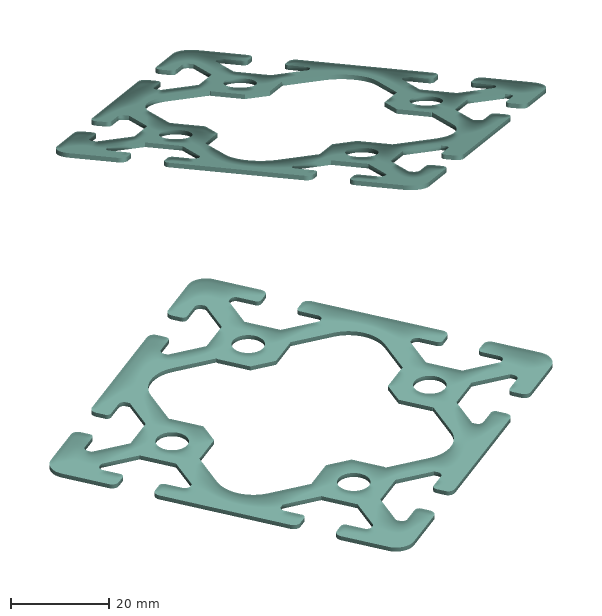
import cadquery as cq

side = 80.0
thickness = 1.0
corner_radius = 4.0
edge = side / 2

hub_offset = side / 4
hub_half_width = 7.7
hole_diameter = 6.8

mouth_half_width = 4.0
lip_thickness = 4.5
lip_outer_radius = 1.5
lip_inner_radius = 1.0
pocket_half_width = 10.0
pocket_wall_depth = 6.5
pocket_radius = 1.2
floor_depth = 12.5
floor_half_width = pocket_half_width - (floor_depth - pocket_wall_depth)

web_start = 4.0
hub_chamfer = 4.0
window_radius = 8.0

quarter_turns = (0, 90, 180, 270)


def make_plate():
    plate = cq.Workplane("XY").rect(side, side).extrude(thickness)
    return plate.edges("|Z").fillet(corner_radius)


def make_slot_pocket():
    """Wide inner part of a T-slot at the +Y edge, centred on X = 0."""
    pocket = (
        cq.Workplane("XY")
        .moveTo(-pocket_half_width, edge - lip_thickness)
        .lineTo(pocket_half_width, edge - lip_thickness)
        .lineTo(pocket_half_width, edge - pocket_wall_depth)
        .lineTo(floor_half_width, edge - floor_depth)
        .lineTo(-floor_half_width, edge - floor_depth)
        .lineTo(-pocket_half_width, edge - pocket_wall_depth)
        .close()
        .extrude(thickness)
    )
    return pocket.edges("|Z and >Y").fillet(pocket_radius)


def make_slot_mouth():
    """Narrow opening between the lips, flared by the lip roundings at both ends."""
    tip = mouth_half_width
    outer_flare = tip + lip_outer_radius
    inner_flare = tip + lip_inner_radius
    lip_back = edge - lip_thickness
    outer_tangent = edge - lip_outer_radius
    inner_tangent = lip_back + lip_inner_radius
    return (
        cq.Workplane("XY")
        .moveTo(-outer_flare, edge)
        .lineTo(outer_flare, edge)
        .radiusArc((tip, outer_tangent), -lip_outer_radius)
        .lineTo(tip, inner_tangent)
        .radiusArc((inner_flare, lip_back), -lip_inner_radius)
        .lineTo(-inner_flare, lip_back)
        .radiusArc((-tip, inner_tangent), -lip_inner_radius)
        .lineTo(-tip, outer_tangent)
        .radiusArc((-outer_flare, edge), -lip_outer_radius)
        .close()
        .extrude(thickness)
    )


def make_window():
    """Central opening: four rounded points reaching out between the chamfered hubs."""
    hub_face = hub_offset - hub_half_width
    web_end = hub_offset + web_start
    apex = hub_face + web_end
    diamond = cq.Workplane("XY").polyline([(apex, 0), (0, apex), (-apex, 0), (0, -apex)])
    diamond = diamond.close().extrude(thickness).edges("|Z").fillet(window_radius)
    hubs = (
        cq.Workplane("XY")
        .rect(2 * hub_offset, 2 * hub_offset, forConstruction=True)
        .vertices()
        .rect(2 * hub_half_width, 2 * hub_half_width)
        .extrude(thickness)
        .edges("|Z")
        .chamfer(hub_chamfer)
    )
    return diamond.cut(hubs)


def cut_holes(plate):
    centers = [(x, y) for x in (-hub_offset, hub_offset) for y in (-hub_offset, hub_offset)]
    return plate.faces(">Z").workplane().pushPoints(centers).hole(hole_diameter)


slot = make_slot_pocket().union(make_slot_mouth())
result = make_plate().cut(make_window())
for turn in quarter_turns:
    for offset in (-hub_offset, hub_offset):
        placed_slot = slot.translate((offset, 0, 0)).rotate((0, 0, 0), (0, 0, 1), turn)
        result = result.cut(placed_slot)
result = cut_holes(result)